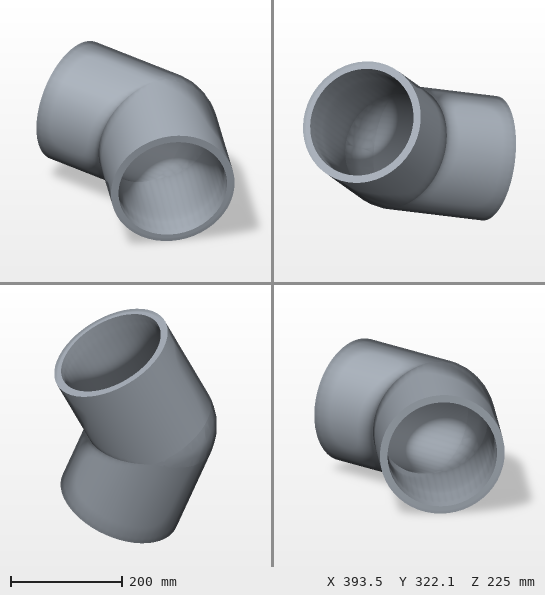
import cadquery as cq
import math

overall_length = 393.5
outer_radius = 112.5
wall = 13.8
bend_angle = 45.0

inner_radius = outer_radius - wall
bend = math.radians(bend_angle)
leg_length = (overall_length - outer_radius * math.sin(bend)) / (1 + math.cos(bend))


def straight_leg(radius, direction):
    """Cylinder running from the corner at the origin along a direction."""
    return cq.Workplane(obj=cq.Solid.makeCylinder(radius, leg_length, cq.Vector(0, 0, 0), direction))


def corner_wedge(radius):
    """Slice of a sphere filling the gap on the outside of the bend."""
    return (
        cq.Workplane("XZ")
        .moveTo(0, -radius)
        .threePointArc((radius, 0), (0, radius))
        .close()
        .revolve(bend_angle, (0, 0, 0), (0, 1, 0))
        .rotate((0, 0, 0), (0, 0, 1), 90 - bend_angle)
    )


def elbow_body(radius):
    """Solid elbow of one radius, with its corner at the origin."""
    inlet = straight_leg(radius, cq.Vector(-1, 0, 0))
    outlet = straight_leg(radius, cq.Vector(math.cos(bend), -math.sin(bend), 0))
    return inlet.union(outlet).union(corner_wedge(radius))


result = elbow_body(outer_radius).cut(elbow_body(inner_radius))